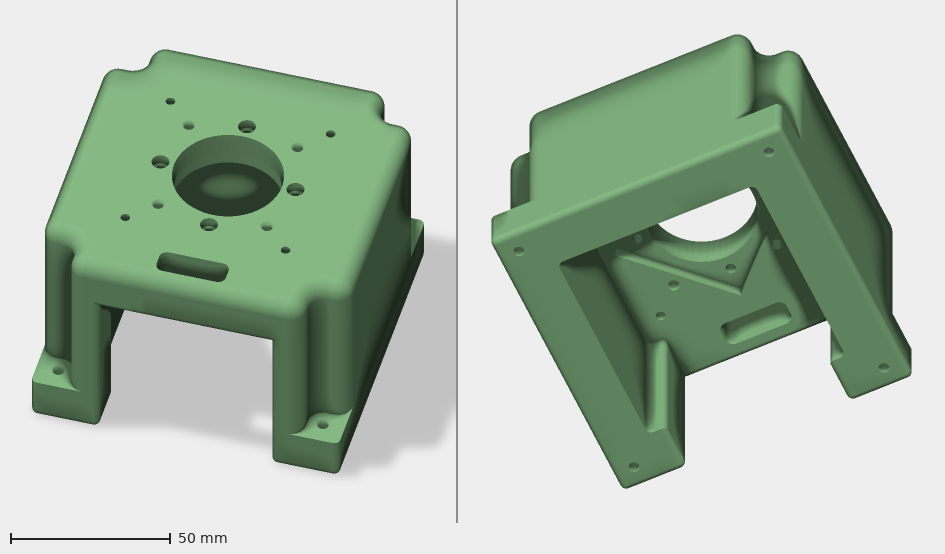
import cadquery as cq
import math

WIDTH = 100.0
HEIGHT = 72.0
WALL = 16.0
CAVITY_HEIGHT = 55.0

NOTCH = 12.0
FOOT_HEIGHT = 15.0
FOOT_HOLE_INSET = 7.0

BODY_ROUND = 5.0
EDGE_ROUND = 2.0

OPENING_WIDTH = 56.0

BORE_DIAMETER = 35.1
MOTOR_SIZE = 42.3
MOTOR_ANGLE = 45.0
MOTOR_SEAT_DEPTH = 4.5
MOTOR_SCREW_SPACING = 31.0
MOTOR_SCREW_DIAMETER = 3.3
SCREW_HEAD_DIAMETER = 5.6
SCREW_HEAD_DEPTH = 3.5
TAPPED_CIRCLE = 50.0
PIN_SPACING = 52.0
PIN_DIAMETER = 3.0
SLOT_LENGTH = 22.5
SLOT_WIDTH = 8.2
SLOT_ROUND = 2.5

THREAD_MINOR = 3.3
THREAD_MAJOR = 4.1
THREAD_PITCH = 0.7

HALF = WIDTH / 2
CAVITY_WIDTH = WIDTH - 2 * WALL
SLOT_Y = -HALF + BODY_ROUND + SLOT_WIDTH / 2


def block(x_size, y_size, z_bottom, z_top):
    """Box centred on the Z axis between two heights."""
    return cq.Workplane().workplane(offset=z_bottom).rect(x_size, y_size).extrude(z_top - z_bottom)


def square_pattern(spacing):
    """Corner points of a square centred on the Z axis."""
    half = spacing / 2
    return [(x, y) for x in (-half, half) for y in (-half, half)]


def pegs(points, diameter, z_bottom, z_top):
    """Upright cylinders at the given points, used to cut plain holes."""
    return (
        cq.Workplane()
        .workplane(offset=z_bottom)
        .pushPoints(points)
        .circle(diameter / 2)
        .extrude(z_top - z_bottom)
    )


def make_upper_body():
    """Column above the feet, with rounded corner notches and a rounded rim."""
    notch_cutter = block(2 * NOTCH, 2 * NOTCH, FOOT_HEIGHT, HEIGHT).edges("|Z").fillet(BODY_ROUND)
    body = block(WIDTH, WIDTH, FOOT_HEIGHT, HEIGHT)
    for x, y in square_pattern(WIDTH):
        body = body.cut(notch_cutter.translate((x, y, 0)))
    body = body.faces("<X or >X or <Y or >Y").edges("|Z").fillet(BODY_ROUND)
    return body.faces(">Z").edges().fillet(BODY_ROUND)


def make_base():
    """Square slab at the height of the feet."""
    return block(WIDTH, WIDTH, 0, FOOT_HEIGHT).edges("|Z").fillet(EDGE_ROUND)


def make_opening():
    """Passage through the front wall, from outside into the cavity."""
    return block(OPENING_WIDTH, WALL, 0, CAVITY_HEIGHT).translate((0, (WALL - WIDTH) / 2, 0))


def round_front_and_base(body):
    """Round the front edges of the opening and the outline of the base.

    The opening ends blind at this stage; its inner edge is left sharp for the cavity.
    """
    margin = EDGE_ROUND / 2
    front_edges = cq.selectors.BoxSelector(
        (-OPENING_WIDTH / 2 - margin, -HALF - margin, margin),
        (OPENING_WIDTH / 2 + margin, -HALF + margin, CAVITY_HEIGHT + margin),
    )
    opening_edges = body.edges(front_edges).vals()
    inner_edge = cq.selectors.NearestToPointSelector((0, -HALF + WALL, 0))
    base_edges = body.faces("<Z").edges(cq.selectors.InverseSelector(inner_edge)).vals()
    return body.newObject(opening_edges + base_edges).fillet(EDGE_ROUND)


def make_cavity():
    """Hollow under the roof, rounded where it meets the opening, with the motor seat above it."""
    hollow = block(CAVITY_WIDTH, CAVITY_WIDTH, 0, CAVITY_HEIGHT).union(make_opening())
    hollow = hollow.edges("|Z and (not <Y)").fillet(EDGE_ROUND)
    seat_top = CAVITY_HEIGHT + MOTOR_SEAT_DEPTH
    seat = block(MOTOR_SIZE, MOTOR_SIZE, CAVITY_HEIGHT, seat_top)
    return hollow.union(seat.rotate((0, 0, 0), (0, 0, 1), MOTOR_ANGLE))


def make_roof_holes():
    """Plain holes and the slot through the roof."""
    reach = MOTOR_SCREW_SPACING / math.sqrt(2)
    motor_screws = [(reach, 0), (0, reach), (-reach, 0), (0, -reach)]
    slot = block(SLOT_LENGTH, SLOT_WIDTH, CAVITY_HEIGHT, HEIGHT).edges("|Z").fillet(SLOT_ROUND)
    return (
        pegs([(0, 0)], BORE_DIAMETER, CAVITY_HEIGHT, HEIGHT)
        .union(pegs(motor_screws, MOTOR_SCREW_DIAMETER, CAVITY_HEIGHT, HEIGHT))
        .union(pegs(motor_screws, SCREW_HEAD_DIAMETER, HEIGHT - SCREW_HEAD_DEPTH, HEIGHT))
        .union(pegs(square_pattern(PIN_SPACING), PIN_DIAMETER, CAVITY_HEIGHT, HEIGHT))
        .union(slot.translate((0, SLOT_Y, 0)))
    )


def make_thread(length):
    """Tapped hole from Z = 0 downwards: a stack of V-shaped ring grooves, widest at the mouth."""
    half_pitch = THREAD_PITCH / 2
    steps = math.ceil(length / half_pitch)
    radii = (THREAD_MAJOR / 2, THREAD_MINOR / 2)
    flanks = [(radii[step % 2], -step * half_pitch) for step in range(steps + 1)]
    outline = [(0, 0)] + flanks + [(0, -steps * half_pitch)]
    return cq.Workplane("XZ").polyline(outline).close().revolve(360, (0, 0), (0, 1))


def cut_threads(body, spacing, z_top, length):
    """Cut a tapped hole at each corner of a square, down from the given height."""
    thread = make_thread(length)
    for x, y in square_pattern(spacing):
        body = body.cut(thread.translate((x, y, z_top)))
    return body


result = make_upper_body().union(make_base()).cut(make_opening())
result = round_front_and_base(result)
result = result.cut(make_cavity()).cut(make_roof_holes())
result = cut_threads(result, TAPPED_CIRCLE / math.sqrt(2), HEIGHT, HEIGHT - CAVITY_HEIGHT)
result = cut_threads(result, WIDTH - 2 * FOOT_HOLE_INSET, FOOT_HEIGHT, FOOT_HEIGHT)